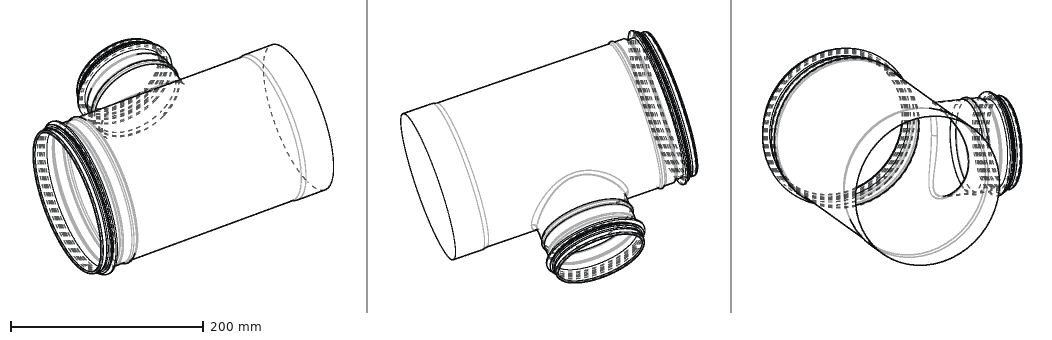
import cadquery as cq
import math

sheet = 0.5

main_radius = 159 / 2
main_front = -131.95
main_back = 138.55
main_length = main_back - main_front
socket_radius = 161.3 / 2
socket_length = 32.3
socket_taper = 4.9

branch_radius = 99.05 / 2
branch_rim = -141.0
collar_start = 36.6
collar_wall = 2 * sheet
nipple_length = 42.7
junction_fillet = 4.5

groove_depth = 2.4
hem_inner_bend = 0.6
hem_outer_bend = hem_inner_bend + sheet
hem_flare_angle = 30
hem_length = 6.1
shoulder_start = 22.2
shoulder_angle = 45
groove_bend = 0.8
shoulder_bend = 2.1
bead_middle = 38.9
bead_bend = 2.1
bead_height = 1.75

seal_start = 2.3
seal_thickness = 1.9
tall_lip_height = 7.6
tall_lip_start = 14.1
tall_lip_end = 15.9
low_lip_height = 5.1
low_lip_start = 8.0
low_lip_front = 9.6
low_lip_root = 1.3
low_lip_tip = 10.3
low_lip_back = 11.4

same_point = 1e-6


class Outline:
    """A profile of straight lines and arcs in the (distance, radius) plane."""

    def __init__(self, distance, radius):
        self.end = (distance, radius)
        self.path = cq.Workplane("XY").moveTo(distance, radius)

    def line(self, distance, radius):
        if math.dist(self.end, (distance, radius)) > same_point:
            self.path = self.path.lineTo(distance, radius)
            self.end = (distance, radius)

    def arc(self, centre, radius, start_angle, end_angle):
        """Lead in to an arc and follow it; angles in degrees from the distance axis."""
        points = []
        for angle in (start_angle, (start_angle + end_angle) / 2, end_angle):
            turn = math.radians(angle)
            points.append((centre[0] + radius * math.cos(turn), centre[1] + radius * math.sin(turn)))
        self.line(*points[0])
        self.path = self.path.threePointArc(points[1], points[2])
        self.end = points[2]

    def revolve(self):
        return self.path.close().revolve(360, (0, 0, 0), (1, 0, 0))


def spigot_skin(radius, length, inset):
    """Solid inside the spigot surface moved inwards by `inset`, from the hem bend to `length`."""
    groove_radius = radius - groove_depth
    skin = Outline(hem_outer_bend, 0)
    skin.line(hem_outer_bend, groove_radius - inset)

    slope = math.radians(shoulder_angle)
    bends = groove_bend + shoulder_bend
    straight_rise = groove_depth - bends * (1 - math.cos(slope))
    shoulder_run = bends * math.sin(slope) + straight_rise / math.tan(slope)
    groove_centre = (shoulder_start, groove_radius + groove_bend)
    shoulder_centre = (shoulder_start + shoulder_run, radius - shoulder_bend)
    skin.arc(groove_centre, groove_bend + inset, 270, 270 + shoulder_angle)
    skin.arc(shoulder_centre, shoulder_bend - inset, 90 + shoulder_angle, 90)

    bead_slope = math.acos(1 - bead_height / (2 * bead_bend))
    bead_angle = math.degrees(bead_slope)
    foot_offset = 2 * bead_bend * math.sin(bead_slope)
    foot_height = radius + bead_bend
    crest_centre = (bead_middle, radius + bead_height - bead_bend)
    skin.arc((bead_middle - foot_offset, foot_height), bead_bend + inset, 270, 270 + bead_angle)
    skin.arc(crest_centre, bead_bend - inset, 90 + bead_angle, 90 - bead_angle)
    skin.arc((bead_middle + foot_offset, foot_height), bead_bend + inset, 270 - bead_angle, 270)

    skin.line(length, radius - inset)
    skin.line(length, 0)
    return skin.revolve()


def hem(radius):
    """Rim bent back outwards and flared into a ring that holds the seal."""
    groove_radius = radius - groove_depth
    centre = (hem_outer_bend, groove_radius + hem_inner_bend)
    flare_slope = math.radians(hem_flare_angle)

    def flare_end(bend_radius, end_radius):
        start = centre[0] - bend_radius * math.sin(flare_slope)
        rise = end_radius - centre[1] - bend_radius * math.cos(flare_slope)
        return start + rise / math.tan(flare_slope)

    ring = Outline(hem_outer_bend, groove_radius - sheet)
    ring.arc(centre, hem_outer_bend, 270, 90 + hem_flare_angle)
    ring.line(flare_end(hem_outer_bend, radius), radius)
    ring.line(hem_length, radius)
    ring.line(hem_length, radius - sheet)
    ring.line(flare_end(hem_inner_bend, radius - sheet), radius - sheet)
    ring.arc(centre, hem_inner_bend, 90 + hem_flare_angle, 270)
    return ring.revolve()


def seal(radius):
    """Rubber ring lying in the groove, with a low lip and a tall lip."""
    inner = radius - groove_depth
    outer = inner + seal_thickness
    ring = Outline(seal_start, inner)
    ring.line(seal_start, outer)
    ring.line(low_lip_start, outer)
    ring.line(low_lip_front, outer + low_lip_root)
    ring.line(low_lip_tip, inner + low_lip_height)
    ring.line(low_lip_back, inner + low_lip_height)
    ring.line(low_lip_back, outer)
    ring.line(tall_lip_start, outer)
    ring.line(tall_lip_start, inner + tall_lip_height)
    ring.line(tall_lip_end, inner + tall_lip_height)
    ring.line(tall_lip_end, inner)
    return ring.revolve()


def on_main(body):
    return body.rotate((0, 0, 0), (0, 0, 1), 90).translate((0, main_front, 0))


def on_branch(body):
    return body.translate((branch_rim, 0, 0))


def branch_cylinder(radius, start):
    """Cylinder along the branch, from `start` behind its rim to the axis of the main duct."""
    return cq.Workplane("YZ").circle(radius).extrude(branch_rim + start)


def socket_skin(inset):
    """Widened back end of the main duct, moved inwards by `inset`."""
    taper_end = main_length - socket_length
    taper_start = taper_end - socket_taper
    socket = Outline(taper_start, 0)
    socket.line(taper_start, main_radius - inset)
    socket.line(taper_end, socket_radius - inset)
    socket.line(main_length, socket_radius - inset)
    socket.line(main_length, 0)
    return on_main(socket.revolve())


def tee_skin(duct_inset, collar_inset):
    """Main duct and branch collar as one solid with a rounded junction, moved inwards."""
    duct_length = main_length - socket_length - socket_taper
    duct = on_main(spigot_skin(main_radius, duct_length, duct_inset))
    body = duct.union(branch_cylinder(branch_radius - collar_inset, nipple_length))
    junction = cq.selectors.BoxSelector(
        (-main_radius - sheet, -branch_radius - sheet, -branch_radius - sheet),
        (-main_radius / 2, branch_radius + sheet, branch_radius + sheet),
    )
    body = body.edges(junction).fillet(junction_fillet + duct_inset)
    return body.union(socket_skin(duct_inset))


collar_sleeve = branch_cylinder(branch_radius - sheet, collar_start)
collar_bore = branch_cylinder(branch_radius - collar_wall, collar_start)
tee = tee_skin(0, 0).union(collar_sleeve)
tee = tee.cut(collar_bore).cut(tee_skin(sheet, collar_wall))
tee = tee.union(on_main(hem(main_radius)))

nipple = spigot_skin(branch_radius, nipple_length, 0).cut(spigot_skin(branch_radius, nipple_length, sheet))
nipple = on_branch(nipple.union(hem(branch_radius)))

main_seal = on_main(seal(main_radius))
branch_seal = on_branch(seal(branch_radius))

bodies = [tee, nipple, main_seal, branch_seal]
result = cq.Compound.makeCompound([solid for body in bodies for solid in body.solids().vals()])